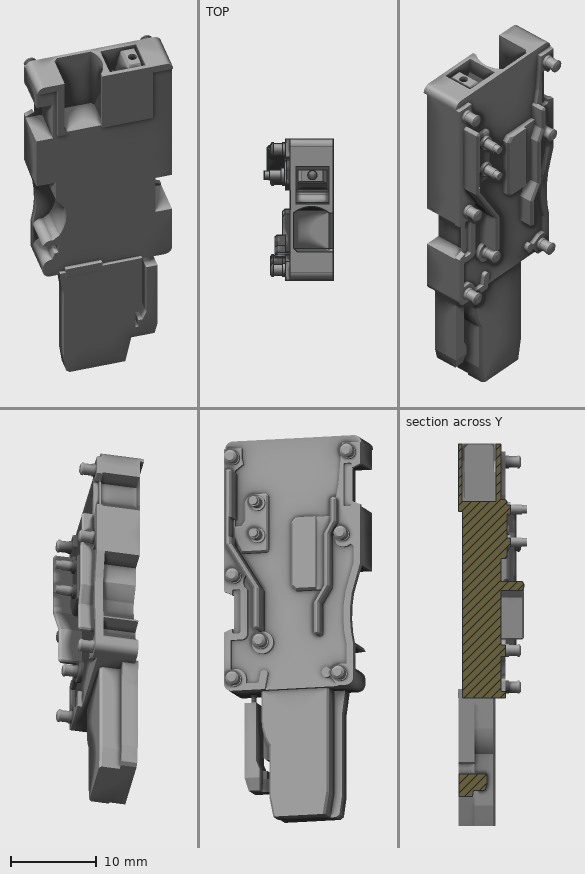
import cadquery as cq

half_width = 8.25
top_z = 44.65
housing_bottom_z = 14.95
floor_x = 0.55
rim_back_x = 0.95
body_back_x = 5.1
skin_back_x = 5.6
cut_margin = 0.45

corner_radius = 0.9
pad_top_z = 43.7
notch_y = 7.2
right_notch = (36.35, 41.12)
left_notch = (21.92, 26.8)
notch_slope = 0.45
slot_y = 6.25
slot_extra = 0.2
web_back_x = 0.65
waist_top_z = 29.25
foot_y = -7.45
rim_width = 0.8

left_rib_x = -2.15
right_rib_x = -1.25
rib_width = 0.65
rib_tip_chamfer = 0.22
rib_end_chamfer = 0.2
boss_x = -0.35
pad_x = -0.15
edge_chamfer = 0.25
pad_chamfer = 0.22

round_pad_place = (3.55, 20.5)
round_pad_radius = 1.3
pin_places = [(7.05, 42.5), (-7.05, 42.5), (-6.3, 32.77), (6.85, 28.45),
              round_pad_place, (6.85, 16.2), (-6.05, 16.2)]
pin_tip_x = -1.8
pin_head_length = 0.4
pin_collar_length = 0.35
pin_tip_radius = 0.5
pin_head_radius = 0.75
pin_shaft_radius = 0.65

contact_places = [(4.0, 36.95), (4.0, 33.15)]
contact_tip_x = -2.5
contact_shoulder_x = -1.88
contact_base_x = -0.55
contact_tip_radius = 0.5
contact_shaft_radius = 0.6
contact_base_radius = 0.85

clamp_top_z = 44.55
clamp_floor_z = 37.95
cable_floor_z = 36.75

plug_front_x = 1.2
plug_split_x = 3.6
plug_back_x = 5.5
arm_front_x = 2.2
arm_centre_y = 5.7
latch_taper_z = 4.95
latch_tip_z = 3.5


def prism(outline, x_start, x_end):
    """Extrude a closed (y, z) outline from x_start to x_end."""
    plane = cq.Workplane("YZ", origin=(x_start, 0, 0))
    return plane.polyline(outline).close().extrude(x_end - x_start)


def block(x_range, y_range, z_range):
    """Box given by its two limits along each axis."""
    sizes = [high - low for low, high in (x_range, y_range, z_range)]
    corner = (x_range[0], y_range[0], z_range[0])
    return cq.Workplane("XY").box(*sizes, centered=False).translate(corner)


def turned(profile, place):
    """Turn an (x, radius) profile about an axis along X through a (y, z) place."""
    y, z = place
    outline = [(profile[0][0], 0)] + profile + [(profile[-1][0], 0)]
    solid = cq.Workplane("XY").polyline(outline).close().revolve(360, (0, 0, 0), (1, 0, 0))
    return solid.translate((0, y, z))


def housing_face(x_start, x_end):
    """Full housing silhouette with its notches, waist and rounded corners."""
    left_low, left_high = left_notch
    right_low, right_high = right_notch
    outline = (
        cq.Workplane("YZ", origin=(x_start, 0, 0))
        .moveTo(half_width, top_z)
        .lineTo(half_width, left_high)
        .lineTo(notch_y, left_high - notch_slope)
        .lineTo(notch_y, left_low + notch_slope)
        .lineTo(half_width, left_low)
        .lineTo(half_width, housing_bottom_z)
        .lineTo(foot_y, housing_bottom_z)
        .lineTo(foot_y, 19.75)
        .threePointArc((-7.05, 23.65), (-7.3, 25.9))
        .lineTo(-half_width, waist_top_z)
        .lineTo(-half_width, right_low)
        .lineTo(-notch_y, right_low + notch_slope)
        .lineTo(-notch_y, right_high - notch_slope)
        .lineTo(-half_width, right_high)
        .lineTo(-half_width, top_z)
        .close()
    )
    solid = outline.extrude(x_end - x_start)
    for corner_z in (top_z, housing_bottom_z):
        near = cq.selectors.BoxSelector(
            (x_start - 0.45, -half_width - 0.45, corner_z - 0.05),
            (x_end + 0.45, half_width + 0.45, corner_z + 0.05))
        solid = solid.edges("|X").edges(near).fillet(corner_radius)
    return solid


def floor_recess():
    """Lower level of the cover side, bounded by the raised rims and pads."""
    outline = (
        cq.Workplane("YZ", origin=(-cut_margin, 0, 0))
        .moveTo(6.1, top_z + cut_margin)
        .lineTo(6.1, 42.5)
        .lineTo(5.95, 41.8)
        .lineTo(6.9, 41.1)
        .lineTo(6.9, 32.05)
        .lineTo(5.05, 28.85)
        .threePointArc((5.9, 27.55), (5.45, 26.92))
        .lineTo(5.45, 21.85)
        .threePointArc((5.63, 21.2), (6.1, 21.0))
        .lineTo(7.45, 21.0)
        .lineTo(7.45, 17.5)
        .lineTo(6.55, 17.5)
        .threePointArc((5.85, 17.05), (5.6, 16.15))
        .lineTo(5.6, 15.75)
        .lineTo(4.05, 15.75)
        .lineTo(3.85, 16.9)
        .threePointArc((3.4, 17.25), (2.95, 16.9))
        .lineTo(3.4, housing_bottom_z - cut_margin)
        .lineTo(-5.55, housing_bottom_z - cut_margin)
        .lineTo(-5.55, housing_bottom_z)
        .lineTo(-4.65, 16.15)
        .lineTo(-4.35, 16.0)
        .threePointArc((-3.6, 16.6), (-4.2, 17.25))
        .lineTo(-4.65, 16.92)
        .lineTo(-5.0, 17.0)
        .lineTo(-5.9, 17.5)
        .lineTo(foot_y + rim_width, 17.5)
        .lineTo(foot_y + rim_width, 19.75)
        .threePointArc((-6.25, 23.65), (-6.5, 26.05))
        .lineTo(-7.5, 29.45)
        .lineTo(-7.5, 31.45)
        .lineTo(-7.1, 31.7)
        .threePointArc((-6.25, 31.4), (-5.35, 31.85))
        .lineTo(-5.15, 32.77)
        .lineTo(-5.3, 37.1)
        .lineTo(-5.65, 38.9)
        .lineTo(-6.07, 43.7)
        .lineTo(-6.07, top_z + cut_margin)
        .close()
    )
    return outline.extrude(floor_x + cut_margin)


def notch_slots():
    """Shallow slots that run alongside the two edge notches."""
    slots = cq.Workplane("XY")
    for side, (low, high) in ((1, left_notch), (-1, right_notch)):
        y_range = sorted((side * slot_y, side * (notch_y + 0.1)))
        slot = block((-cut_margin, floor_x), y_range, (low - slot_extra, high + slot_extra))
        slots = slots.add(slot.edges("|X").fillet(0.22))
    return slots.combine()


def notch_backs():
    """Deeper notches behind the thin web that is left along each edge notch."""
    backs = cq.Workplane("XY")
    for side, (low, high) in ((1, left_notch), (-1, right_notch)):
        y_range = sorted((side * slot_y, side * (half_width + cut_margin)))
        cutter = block((web_back_x, skin_back_x), y_range, (low - slot_extra, high + slot_extra))
        inner = cq.selectors.NearestToPointSelector((web_back_x, side * slot_y, (low + high) / 2))
        backs = backs.add(cutter.edges("|Z").edges(inner).fillet(0.3))
    return backs.combine()


def grip_recess():
    """Finger recess behind the rim plate on the -Y side, with two ribs left standing."""
    recess = (
        cq.Workplane("YZ", origin=(rim_back_x, 0, 0))
        .moveTo(-half_width - 0.45, waist_top_z)
        .lineTo(-5.9, waist_top_z)
        .lineTo(-5.9, 26.55)
        .lineTo(-4.7, 24.85)
        .threePointArc((-4.75, 22.75), (-5.5, 21.0))
        .lineTo(-6.25, 20.4)
        .threePointArc((-7.1, 20.25), (foot_y, 19.75))
        .lineTo(-5.6, 19.55)
        .lineTo(-5.6, 18.45)
        .lineTo(-6.05, 18.35)
        .lineTo(-6.35, 17.5)
        .threePointArc((-7.15, 17.2), (foot_y, 16.45))
        .lineTo(-half_width - 0.45, 16.45)
        .close()
    )
    return recess.extrude(skin_back_x - rim_back_x)


def back_skin():
    """Thin back layer: a top cap, a panel hanging below it, and a small foot tab."""
    x_range = (body_back_x, skin_back_x)
    cap = housing_face(*x_range).intersect(block(x_range, (-half_width, half_width), (pad_top_z, top_z)))
    panel = block(x_range, (-5.8, 5.8), (cable_floor_z, pad_top_z))
    tab = block(x_range, (-4.8, -0.35), (housing_bottom_z, 16.0))
    return cap.union(panel).union(tab)


def cable_pocket():
    """Large cable opening in the top, arched towards +Y and open through the back."""
    opening = (
        cq.Workplane("XY", origin=(0, 0, cable_floor_z))
        .moveTo(0.95, -4.95)
        .lineTo(0.95, -0.4)
        .threePointArc((3.05, 0.35), (body_back_x, -0.4))
        .lineTo(skin_back_x + 0.45, -0.4)
        .lineTo(skin_back_x + 0.45, -4.95)
        .close()
        .extrude(top_z - cable_floor_z + 0.45)
    )
    corner = cq.selectors.NearestToPointSelector((0.95, -4.95, top_z))
    opening = opening.edges("|Z").edges(corner).chamfer(0.45)
    sloped_foot = prism([(-0.1, cable_floor_z), (0.45, 40.2), (0.45, top_z + 0.45), (-4.95, top_z + 0.45),
                         (-4.95, 37.5), (-4.55, cable_floor_z)], 0, skin_back_x + 0.45)
    return opening.intersect(sloped_foot)


def clamp_pocket():
    """Rectangular opening in the top that holds the clamp."""
    return block((1.2, body_back_x), (0.65, 5.05), (clamp_floor_z, top_z + 0.45))


def clamp():
    """Clamp block with a screw hole, facing a sloped spring across a V-shaped gap."""
    side_relief = 0.45
    clamp_block = prism([(4.65, clamp_floor_z), (4.65, clamp_top_z), (3.3, clamp_top_z), (3.05, 44.15),
                         (2.35, 41.3), (2.35, clamp_floor_z)], 1.45, 4.8)
    clamp_block = clamp_block.faces(">Z").edges("<X").fillet(side_relief)
    clamp_block = clamp_block.faces(">Z").edges(">X").chamfer(side_relief)
    screw = cq.Workplane("XY", origin=(3.13, 4.0, clamp_top_z)).circle(0.55).extrude(-1.35)
    spring = prism([(2.35, clamp_floor_z), (2.35, 41.3), (2.05, 41.3), (1.8, 41.6), (0.85, 42.65),
                    (0.65, 42.65), (0.65, clamp_floor_z)], 1.2, body_back_x)
    return clamp_block.cut(screw).union(spring)


def rib(path, x_tip):
    """Upright wall whose +Y face follows a path of (y, z) points."""
    inner = [(y - rib_width, z) for y, z in path]
    wall = prism(path + inner[::-1], x_tip, floor_x)
    wall = wall.edges("|X and (>Z or <Z)").chamfer(rib_end_chamfer)
    return wall.faces("<X").edges().chamfer(rib_tip_chamfer)


def left_rib():
    """Long rib on the +Y half, thinned where it passes the contact pad."""
    wall = rib([(7.45, 40.9), (7.45, 32.05), (4.1, 26.65), (4.1, 21.8)], left_rib_x)
    return wall.cut(block((left_rib_x, floor_x), (6.7, 7.1), (32.85, 35.25)))


def right_rib():
    """Lower rib on the -Y half, with two short bends."""
    return rib([(-5.0, 37.1), (-5.0, 34.25), (-4.2, 32.77), (-4.2, 26.65),
                (-3.0, 24.7), (-3.0, 20.95)], right_rib_x)


def boss():
    """Rectangular raised block next to the right rib, with a lower shelf behind it."""
    raised = block((boss_x, floor_x), (-3.0, 0.05), (26.45, 35.1))
    raised = raised.edges("|X and >Y").chamfer(0.55)
    raised = raised.faces("<X").edges("not (>Z or <Y)").chamfer(edge_chamfer)
    shelf = prism([(-3.0, 35.1), (-4.9, 35.1), (-4.9, 34.25), (-4.25, 32.77),
                   (-4.25, 26.65), (-3.85, 26.45), (-3.0, 26.45)], 0, floor_x)
    return raised.union(shelf)


def contact_pad():
    """Raised pad that carries the two contact pins and joins the left rib."""
    outline = [(2.9, 38.18), (2.9, 31.2), (6.1, 31.2), (7.1, 33.1), (7.1, 34.45), (6.15, 34.45),
               (5.8, 35.0), (5.8, 38.18)]
    pad = prism(outline, pad_x, floor_x)
    for (y, z), radius in ((outline[0], 0.35), (outline[1], 0.35), (outline[-1], 1.25)):
        corner = cq.selectors.NearestToPointSelector((floor_x, y, z))
        pad = pad.edges("|X").edges(corner).fillet(radius)
    return pad.faces("<X").edges("not <Y").chamfer(pad_chamfer)


def press_pin(place):
    """Pin with a tapered head, a slimmer shaft and a collar at its foot."""
    head_x = pin_tip_x + pin_head_length
    profile = [(pin_tip_x, pin_tip_radius), (pin_tip_x + pin_head_length / 2, pin_head_radius),
               (head_x, pin_head_radius), (head_x, pin_shaft_radius),
               (-pin_collar_length, pin_shaft_radius), (-pin_collar_length, pin_head_radius),
               (floor_x, pin_head_radius)]
    return turned(profile, place)


def contact_pin(place):
    """Stepped pin standing on the contact pad."""
    profile = [(contact_tip_x, contact_tip_radius), (contact_shoulder_x, contact_tip_radius),
               (contact_shoulder_x, contact_shaft_radius), (contact_base_x, contact_shaft_radius),
               (contact_base_x, contact_base_radius), (floor_x, contact_base_radius)]
    return turned(profile, place)


def tip_wedge(front_x, depth, y_range):
    """Cutter that tapers a front face towards the lower end of the latch."""
    below_tip_z = latch_tip_z - 0.35
    outline = [(front_x, latch_taper_z), (front_x + depth, latch_tip_z), (front_x + depth, below_tip_z),
               (front_x - 0.45, below_tip_z), (front_x - 0.45, latch_taper_z)]
    wedge = cq.Workplane("XZ").polyline(outline).close().extrude(-(y_range[1] - y_range[0]))
    return wedge.translate((0, y_range[0], 0))


def plug():
    """Two-layer tongue that leaves the lower end of the housing."""
    root_z = housing_bottom_z + 0.45
    front = (
        cq.Workplane("YZ", origin=(plug_front_x, 0, 0))
        .moveTo(4.1, root_z)
        .lineTo(4.1, 11.4)
        .threePointArc((3.85, 9.82), (3.15, 8.4))
        .lineTo(3.15, 2.4)
        .lineTo(2.7, 0)
        .lineTo(-3.65, 0)
        .lineTo(-4.1, 2.65)
        .lineTo(-4.1, root_z)
        .close()
        .extrude(plug_split_x - plug_front_x)
    )
    long_edges = cq.selectors.BoxSelector((0, -4.45, 0.45), (plug_front_x + 0.05, 4.45, root_z - 0.22))
    front = front.faces("<X").edges(long_edges).chamfer(edge_chamfer)
    back = prism([(-5.5, root_z), (-5.05, 12.3), (-5.05, 2.55), (-4.75, 0.3), (-4.35, 0), (2.45, 0),
                  (3.15, latch_tip_z), (4.75, latch_tip_z), (4.6, 5.95), (4.05, 5.95),
                  (4.05, latch_taper_z), (3.7, latch_taper_z), (3.7, 7.25), (4.2, 7.25),
                  (4.5, 7.5), (4.5, root_z)],
                 plug_split_x, plug_back_x)
    return front.union(back.cut(tip_wedge(plug_split_x, 0.25, (3.15, 4.78))))


def latch_arm():
    """Slim arm beside the plug, hung from the housing by a short round neck."""
    arm = prism([(6.4, 13.85), (5.0, 13.85), (5.0, 6.95), (4.55, 5.95), (4.55, latch_taper_z),
                 (4.75, latch_tip_z), (6.05, latch_tip_z), (6.4, latch_taper_z)],
                arm_front_x, plug_back_x)
    arm = arm.cut(tip_wedge(arm_front_x, 0.45, (4.0, 6.7)))
    neck_profile = [(0, 15.2), (0.45, 15.2), (0.45, housing_bottom_z), (0.29, 14.7), (0.29, 14.2),
                    (0.65, 13.85), (0.65, 13.6), (0, 13.6)]
    neck = cq.Workplane("XZ").polyline(neck_profile).close().revolve(360, (0, 0, 0), (0, 1, 0))
    return arm.union(neck.translate(((arm_front_x + plug_back_x) / 2, arm_centre_y, 0)))


result = housing_face(0, body_back_x).union(back_skin())
above_pads = block((-cut_margin, floor_x), (-half_width, half_width), (pad_top_z, top_z))
result = result.cut(above_pads)
for cutter in (floor_recess(), notch_slots(), notch_backs(), grip_recess(), cable_pocket(), clamp_pocket()):
    result = result.cut(cutter)

round_pad = turned([(0, round_pad_radius), (floor_x, round_pad_radius)], round_pad_place)
for addition in (clamp(), left_rib(), right_rib(), boss(), contact_pad(), round_pad, plug(), latch_arm()):
    result = result.union(addition)
for pin_place in pin_places:
    result = result.union(press_pin(pin_place))
for contact_place in contact_places:
    result = result.union(contact_pin(contact_place))